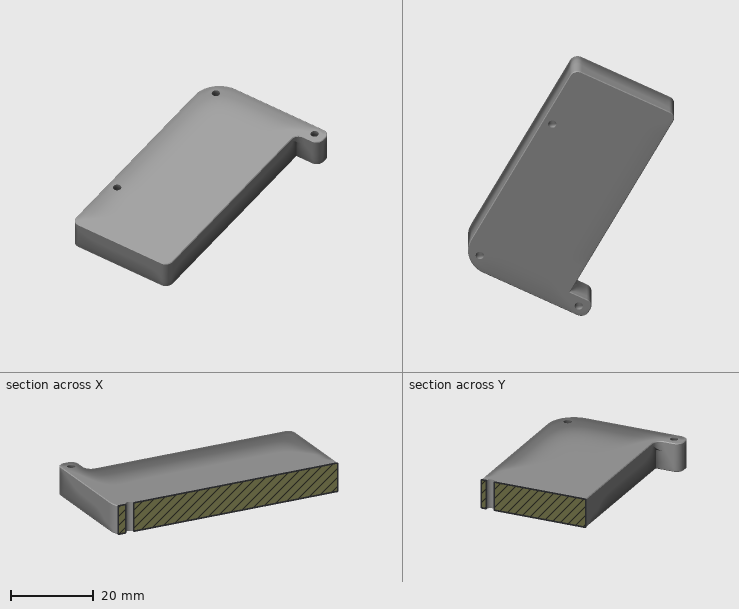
import cadquery as cq

total_width = 34.55
length = 60.65
thickness = 7.5
body_width = 28.0
edge_chamfer = 0.2

small_radius = 2.0
large_radius = 7.05
lug_depth = 5.0
lug_bottom = length - lug_depth

web_radius = 2.0
web_height = 2.55
web_rise = 2.0

hole_diameter = 2.0
lug_hole_inset = 2.9
hole_centers = [
    (3.95, length - 3.95),
    (total_width - lug_hole_inset, lug_bottom + lug_depth / 2),
    (2.5, 16.05),
]


def round_corner(solid, x, y, radius):
    """Fillet the vertical edge standing at (x, y)."""
    edge = cq.selectors.NearestToPointSelector((x, y, thickness / 2))
    return solid.edges("|Z").edges(edge).fillet(radius)


def make_plate(round_inside_corner):
    """L-shaped plate with rounded corners and chamfered rims."""
    plate = (
        cq.Workplane("XY")
        .moveTo(0, 0)
        .lineTo(body_width, 0)
        .lineTo(body_width, lug_bottom)
        .lineTo(total_width, lug_bottom)
        .lineTo(total_width, length)
        .lineTo(0, length)
        .close()
        .extrude(thickness)
    )
    small_corners = [
        (body_width, 0),
        (0, 0),
        (total_width, lug_bottom),
        (total_width, length),
    ]
    for x, y in small_corners:
        plate = round_corner(plate, x, y, small_radius)
    plate = round_corner(plate, 0, length, large_radius)
    if round_inside_corner:
        plate = round_corner(plate, body_width, lug_bottom, web_radius)
    return plate.faces("<Z or >Z").edges().chamfer(edge_chamfer)


def make_web_zone():
    """Block around the inside corner, bounded below by the sloping underside."""
    web_base = thickness - web_height
    web_front = lug_bottom - web_radius
    side_profile = [
        (web_front, web_base + web_rise),
        (lug_bottom, web_base),
        (length - lug_depth / 2, web_base),
        (length - lug_depth / 2, thickness),
        (web_front, thickness),
    ]
    return (
        cq.Workplane("YZ")
        .workplane(offset=body_width - web_radius)
        .polyline(side_profile)
        .close()
        .extrude(2 * web_radius)
    )


web = make_plate(round_inside_corner=True).intersect(make_web_zone())
plate = make_plate(round_inside_corner=False).union(web)

holes = (
    cq.Workplane("XY")
    .pushPoints(hole_centers)
    .circle(hole_diameter / 2)
    .extrude(thickness)
)
result = plate.cut(holes)